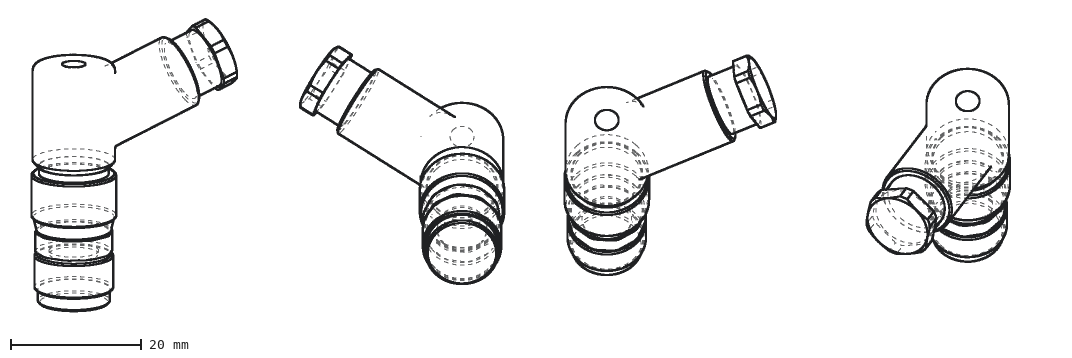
import cadquery as cq
import math


TIP_RADIUS = 5.52
TIP_TOP = 2.1
TIP_CHAMFER = 0.3
BARREL_RADIUS = 6.03
BARREL_TOP = 7.67
BARREL_CHAMFER = 0.3
UNDERCUT_RADIUS = 3.8
HEAD_BOTTOM = 8.2
HEAD_TOP = 11.2
HEAD_RADIUS = 5.9
HEAD_APOTHEM = 5.75
HEAD_FLATS = 10

SLEEVE_RADIUS = 6.5
SLEEVE_TOP = 20.4
SLEEVE_CYLINDER_BOTTOM = 13.75
SLEEVE_CHAMFER = 0.3
SLEEVE_CONE_RADIUS = 5.75

NECK_RADIUS = 5.35
NECK_TOP = 21.6
COLUMN_RADIUS = 6.32
COLUMN_CONE_RADIUS = 5.5
COLUMN_CONE_TOP = 22.55
COLUMN_TOP = 37.75
COLUMN_TOP_FILLET = 1.05
DIMPLE_RADIUS = 1.8
DIMPLE_DEPTH = 0.5
ARM_RADIUS = 5.8
ARM_LENGTH = 19.1
ARM_CHAMFER = 0.3
ARM_TILT = 20.0
ARM_PIVOT_HEIGHT = 28.1
JUNCTION_FILLET = 0.5

SHANK_RADIUS = 4.75
GLAND_HEAD_START = 23.53
GLAND_END = 26.15
GLAND_APOTHEM = 5.05
GLAND_CORNER_RADIUS = 5.52
GLAND_FACE_RADIUS = 5.0
GLAND_CHAMFER_ANGLE = 30.0
GLAND_FLATS = 6


def revolve_profile(points):
    """Revolve a closed (radius, height) outline about the Z axis."""
    return cq.Workplane("XZ").polyline(points).close().revolve(360, (0, 0, 0), (0, 1, 0))


def flat_sided_prism(sides, apothem, bottom, top):
    """Regular prism about Z with one flat facing +X and one facing -X."""
    corner_diameter = 2 * apothem / math.cos(math.pi / sides)
    prism = cq.Workplane("XY").workplane(offset=bottom).polygon(sides, corner_diameter).extrude(top - bottom)
    return prism.rotate((0, 0, 0), (0, 0, 1), 180 / sides)


def place_on_arm(shape):
    """Move a shape built along Z onto the tilted arm axis."""
    tilted = shape.rotate((0, 0, 0), (1, 0, 0), ARM_TILT - 90)
    return tilted.translate((0, 0, ARM_PIVOT_HEIGHT))


def make_coupling_screw():
    thread = revolve_profile([
        (0, 0),
        (TIP_RADIUS - TIP_CHAMFER, 0),
        (TIP_RADIUS, TIP_CHAMFER),
        (TIP_RADIUS, TIP_TOP),
        (BARREL_RADIUS - BARREL_CHAMFER, TIP_TOP),
        (BARREL_RADIUS, TIP_TOP + BARREL_CHAMFER),
        (BARREL_RADIUS, BARREL_TOP - BARREL_CHAMFER),
        (BARREL_RADIUS - BARREL_CHAMFER, BARREL_TOP),
        (UNDERCUT_RADIUS, BARREL_TOP),
        (UNDERCUT_RADIUS, HEAD_BOTTOM),
        (0, HEAD_BOTTOM),
    ])
    head = cq.Workplane("XY").workplane(offset=HEAD_BOTTOM).circle(HEAD_RADIUS).extrude(HEAD_TOP - HEAD_BOTTOM)
    flats = flat_sided_prism(HEAD_FLATS, HEAD_APOTHEM, HEAD_BOTTOM, HEAD_TOP).rotate((0, 0, 0), (0, 0, 1), 90)
    return thread.union(head.intersect(flats))


def make_coupling_sleeve():
    return revolve_profile([
        (0, HEAD_TOP),
        (SLEEVE_CONE_RADIUS - SLEEVE_CHAMFER, HEAD_TOP),
        (SLEEVE_CONE_RADIUS, HEAD_TOP + SLEEVE_CHAMFER),
        (SLEEVE_RADIUS - SLEEVE_CHAMFER, SLEEVE_CYLINDER_BOTTOM - SLEEVE_CHAMFER),
        (SLEEVE_RADIUS, SLEEVE_CYLINDER_BOTTOM),
        (SLEEVE_RADIUS, SLEEVE_TOP - SLEEVE_CHAMFER),
        (SLEEVE_RADIUS - SLEEVE_CHAMFER, SLEEVE_TOP),
        (0, SLEEVE_TOP),
    ])


def make_elbow():
    column = revolve_profile([
        (0, SLEEVE_TOP),
        (NECK_RADIUS, SLEEVE_TOP),
        (NECK_RADIUS, NECK_TOP),
        (COLUMN_CONE_RADIUS, NECK_TOP),
        (COLUMN_RADIUS, COLUMN_CONE_TOP),
        (COLUMN_RADIUS, COLUMN_TOP),
        (0, COLUMN_TOP),
    ])
    arm = cq.Workplane("XY").circle(ARM_RADIUS).extrude(ARM_LENGTH).faces(">Z").chamfer(ARM_CHAMFER)
    column = column.faces(">Z").edges().fillet(COLUMN_TOP_FILLET)
    elbow = column.union(place_on_arm(arm))
    elbow = elbow.edges("%BSPLINE").fillet(JUNCTION_FILLET)

    dimple_sphere_radius = (DIMPLE_RADIUS**2 + DIMPLE_DEPTH**2) / (2 * DIMPLE_DEPTH)
    dimple_centre = COLUMN_TOP + dimple_sphere_radius - DIMPLE_DEPTH
    return elbow.cut(cq.Workplane("XY").sphere(dimple_sphere_radius).translate((0, 0, dimple_centre)))


def make_gland_nut():
    shank = cq.Workplane("XY").workplane(offset=ARM_LENGTH).circle(SHANK_RADIUS)
    shank = shank.extrude(GLAND_HEAD_START - ARM_LENGTH)
    chamfer_drop = (GLAND_CORNER_RADIUS - GLAND_FACE_RADIUS) * math.tan(math.radians(GLAND_CHAMFER_ANGLE))
    turned_head = revolve_profile([
        (0, GLAND_HEAD_START),
        (GLAND_CORNER_RADIUS, GLAND_HEAD_START),
        (GLAND_CORNER_RADIUS, GLAND_END - chamfer_drop),
        (GLAND_FACE_RADIUS, GLAND_END),
        (0, GLAND_END),
    ])
    hexagon = flat_sided_prism(GLAND_FLATS, GLAND_APOTHEM, GLAND_HEAD_START, GLAND_END)
    return place_on_arm(shank.union(turned_head.intersect(hexagon)))


coupling_screw = make_coupling_screw()
coupling_sleeve = make_coupling_sleeve()
elbow = make_elbow()
gland_nut = make_gland_nut()

result = cq.Compound.makeCompound([
    coupling_screw.solids().val(),
    coupling_sleeve.solids().val(),
    elbow.solids().val(),
    gland_nut.solids().val(),
])